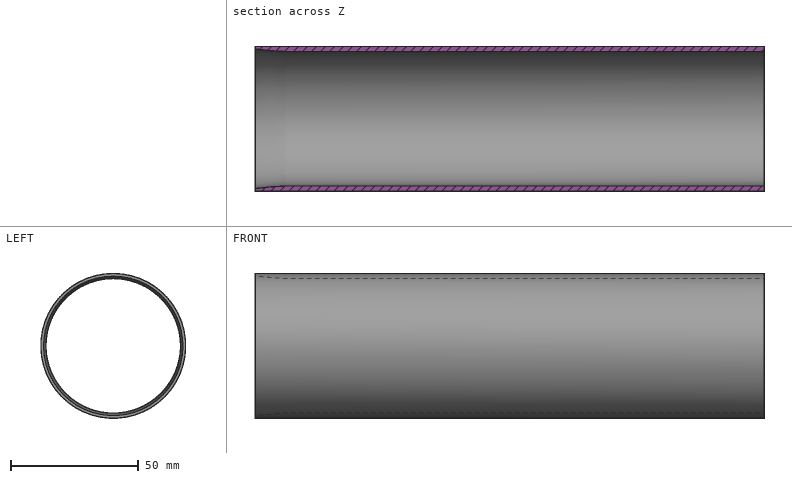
import cadquery as cq

length = 200.0
outer_diameter = 57.0
bore_diameter = 52.8

mouth_diameter = 54.8
lead_in_depth = 12.0

end_x = length / 2
wall_profile = [
    (-end_x, mouth_diameter / 2),
    (-end_x, outer_diameter / 2),
    (end_x, outer_diameter / 2),
    (end_x, bore_diameter / 2),
    (-end_x + lead_in_depth, bore_diameter / 2),
]

axis_start = (0, 0, 0)
axis_end = (1, 0, 0)
result = cq.Workplane("XZ").polyline(wall_profile).close().revolve(360, axis_start, axis_end)